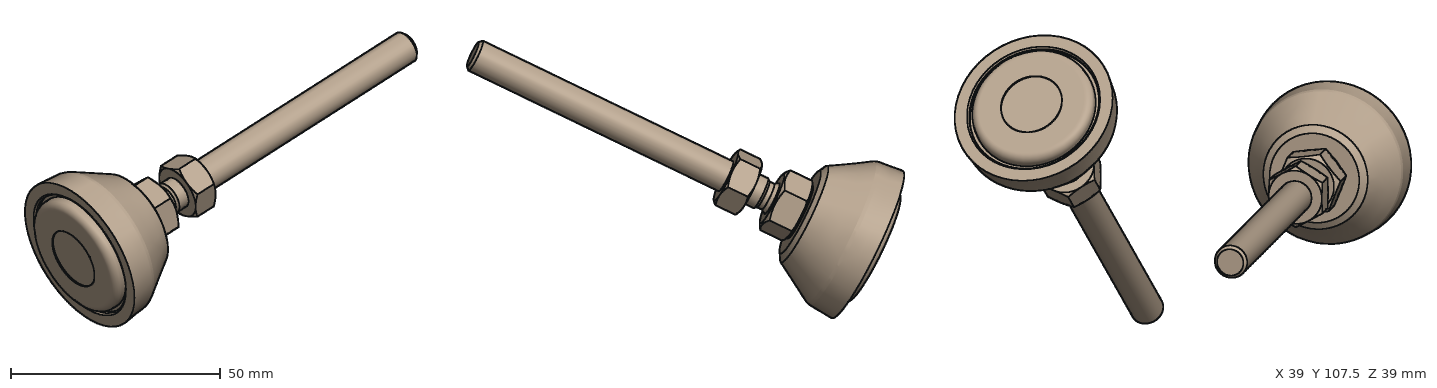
import cadquery as cq
import math

total_length = 107.5

hex_sides = 6
hex_chamfer_angle = 30.0

cup_diameter = 39.0
cup_radius = cup_diameter / 2
cup_base_height = 2.0
cup_rim_height = 0.4
cup_shoulder_radius = 18.9
cup_shoulder_height = 8.7
cup_shoulder_fillet = 2.2
selection_margin = 0.1
cup_neck_radius = 12.8
cup_neck_height = 18.9
cup_top_radius = 11.0
cup_top_height = 20.0
recess_radius = 16.0
recess_height = 5.4
recess_chamfer = 0.4

pad_radius = 15.0
pad_edge_fillet = 1.9
pad_flange_height = 3.2
dimple_radius = 7.5
dimple_depth = 0.3

rod_radius = 4.0
rod_end_chamfer = 0.8
rod_start_height = 30.5
neck_radius = 3.4
neck_top_height = 29.9
neck_bottom_height = 28.6
neck_foot_radius = 4.1
stud_hex_top = 27.5
stud_hex_top_radius = 6.6
stud_hex_base_radius = 7.4
collar_radius = 7.0
collar_thickness = 0.4
stud_hex_flats = 14.0
stud_hex_turn = 8.6

nut_flats = 13.0
nut_bottom_height = 33.4
nut_thickness = 6.5
nut_first_corner = 90.0


def revolve_profile(profile):
    """Turn a closed (radius, height) wire in the XY plane about the Y axis."""
    return profile.close().revolve(360, (0, 0, 0), (0, 1, 0))


def cylinder(radius, bottom, top):
    """Cylinder on the Y axis between two heights."""
    return revolve_profile(
        cq.Workplane("XY").moveTo(0, bottom).lineTo(radius, bottom).lineTo(radius, top).lineTo(0, top)
    )


def chamfered_hexagon(flats, bottom, top, bottom_radius, top_radius, first_corner):
    """Hexagon on the Y axis with conical chamfers that leave a round flat at each end.

    first_corner is the angle of one corner from +X toward +Z, in degrees.
    """
    corner_radius = flats / 2 / math.cos(math.pi / hex_sides)
    chamfer_slope = math.tan(math.radians(hex_chamfer_angle))
    prism = (
        cq.Workplane("XZ", origin=(0, bottom, 0))
        .polygon(hex_sides, 2 * corner_radius)
        .extrude(bottom - top)
        .rotate((0, 0, 0), (0, 1, 0), -first_corner)
    )
    envelope = revolve_profile(
        cq.Workplane("XY")
        .moveTo(0, bottom)
        .lineTo(bottom_radius, bottom)
        .lineTo(corner_radius, bottom + (corner_radius - bottom_radius) * chamfer_slope)
        .lineTo(corner_radius, top - (corner_radius - top_radius) * chamfer_slope)
        .lineTo(top_radius, top)
        .lineTo(0, top)
    )
    return prism.intersect(envelope)


def make_cup():
    """Conical cup with a rounded shoulder and a round recess below for the pad."""
    body = revolve_profile(
        cq.Workplane("XY")
        .moveTo(0, cup_base_height)
        .lineTo(cup_radius, cup_base_height)
        .lineTo(cup_radius, cup_base_height + cup_rim_height)
        .lineTo(cup_shoulder_radius, cup_shoulder_height)
        .lineTo(cup_neck_radius, cup_neck_height)
        .lineTo(cup_top_radius, cup_top_height)
        .lineTo(0, cup_top_height)
    )
    shoulder = cq.selectors.BoxSelector(
        (-cup_radius, cup_shoulder_height - selection_margin, -cup_radius),
        (cup_radius, cup_shoulder_height + selection_margin, cup_radius),
    )
    body = body.edges(shoulder).fillet(cup_shoulder_fillet)
    recess = cylinder(recess_radius, cup_base_height, recess_height)
    mouth = cq.selectors.RadiusNthSelector(0)
    return body.cut(recess).faces("<Y").edges(mouth).chamfer(recess_chamfer)


def make_pad():
    """Round pad with a rounded floor edge, a shallow dimple and a flange held in the cup."""
    foot = cylinder(pad_radius, 0, pad_flange_height).faces("<Y").edges().fillet(pad_edge_fillet)
    flange = cylinder(recess_radius, pad_flange_height, recess_height)
    dimple = cylinder(dimple_radius, 0, dimple_depth)
    return foot.union(flange).cut(dimple)


def make_stud():
    """Rod with a relieved neck and a hexagon whose thin collar stands on the cup."""
    rod = revolve_profile(
        cq.Workplane("XY")
        .moveTo(0, stud_hex_top)
        .lineTo(neck_foot_radius, stud_hex_top)
        .lineTo(neck_radius, neck_bottom_height)
        .lineTo(neck_radius, neck_top_height)
        .lineTo(rod_radius, rod_start_height)
        .lineTo(rod_radius, total_length - rod_end_chamfer)
        .lineTo(rod_radius - rod_end_chamfer, total_length)
        .lineTo(0, total_length)
    )
    hex_bottom = cup_top_height + collar_thickness
    hexagon = chamfered_hexagon(
        stud_hex_flats, hex_bottom, stud_hex_top, stud_hex_base_radius, stud_hex_top_radius, -stud_hex_turn
    )
    collar = cylinder(collar_radius, cup_top_height, hex_bottom)
    return rod.union(hexagon).union(collar)


def make_nut():
    """Hexagon lock nut around the rod, two corners pointing along Z."""
    top = nut_bottom_height + nut_thickness
    face_radius = nut_flats / 2
    nut = chamfered_hexagon(nut_flats, nut_bottom_height, top, face_radius, face_radius, nut_first_corner)
    return nut.cut(cylinder(rod_radius, nut_bottom_height, top))


cup = make_cup()
pad = make_pad()
stud = make_stud()
nut = make_nut()

result = cq.Compound.makeCompound([cup.val(), pad.val(), stud.val(), nut.val()])